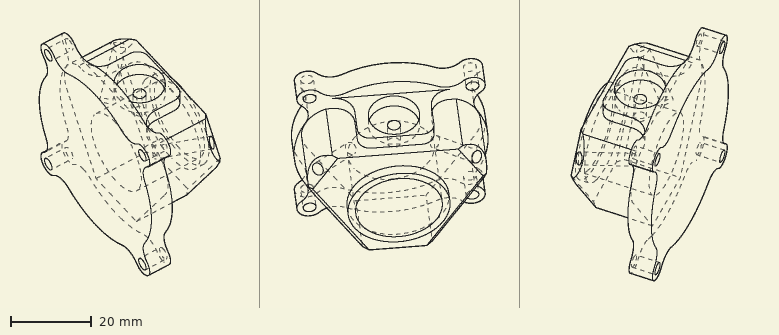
import cadquery as cq
import math

flange_radius = 24.15
flange_thickness = 6.3
ear_offset = 20.2
ear_radius = 3.2
ear_fillet = 5.0
hole_diameter = 3.2

housing_back = 22.88
housing_top = 15.93
housing_bottom = -19.05
corner_x = 12.65
corner_z = 7.0
corner_radius = 9.6
facet_angle = 30.0
corner_cut_depth = 3.15
side_chamfer = 1.35
corner_hole_x = 19.75
corner_hole_z = 10.75
corner_hole_length = 18.35

collar_back = 25.4
collar_diameter = 25.4
bore_diameter = 21.55
collar_z = -1.3

pad_top = 19.65
pad_half_width = 9.5
pad_back = 20.35
pad_corner_radius = 3.2
pad_root_radius = 5.0
pocket_diameter = 12.7
pocket_y = 13.35

cos_facet = math.cos(math.radians(facet_angle))
sin_facet = math.sin(math.radians(facet_angle))
cos_45 = math.sqrt(0.5)


def back_facing_plane(y):
    """Workplane facing +Y, with local x = -X and local y = Z."""
    return cq.Workplane(cq.Plane((0, y, 0), (-1, 0, 0), (0, 1, 0)))


def make_flange():
    across = ear_radius + ear_fillet
    along = math.sqrt((flange_radius + ear_fillet) ** 2 - across**2)
    rim_scale = flange_radius / (flange_radius + ear_fillet)
    ear_along = ear_offset * math.sqrt(2)
    fillet_angle = math.atan2(across, along)
    middle_angle = (fillet_angle + 2.5 * math.pi) / 2
    bend = (along + ear_fillet * math.cos(middle_angle), across + ear_fillet * math.sin(middle_angle))
    rim = (along * rim_scale, across * rim_scale)

    def turned(point, quarter, side):
        """Point in ear coordinates, mirrored by side and turned to its quarter."""
        angle = math.radians(45 + 90 * quarter)
        x, y = point[0], side * point[1]
        return (x * math.cos(angle) - y * math.sin(angle), x * math.sin(angle) + y * math.cos(angle))

    outline = back_facing_plane(0).moveTo(*turned(rim, 0, -1))
    for quarter in range(4):
        outline = (
            outline.threePointArc(turned(bend, quarter, -1), turned((along, ear_radius), quarter, -1))
            .lineTo(*turned((ear_along, ear_radius), quarter, -1))
            .threePointArc(
                turned((ear_along + ear_radius, 0), quarter, 1),
                turned((ear_along, ear_radius), quarter, 1),
            )
            .lineTo(*turned((along, ear_radius), quarter, 1))
            .threePointArc(turned(bend, quarter, 1), turned(rim, quarter, 1))
            .threePointArc(
                turned((flange_radius * cos_45, flange_radius * cos_45), quarter, 1),
                turned(rim, quarter + 1, -1),
            )
        )
    plate = outline.close().extrude(flange_thickness)
    holes = (
        back_facing_plane(0)
        .rect(2 * ear_offset, 2 * ear_offset, forConstruction=True)
        .vertices()
        .circle(hole_diameter / 2)
        .extrude(flange_thickness)
    )
    return plate.cut(holes)


def bevel_cutter(side, tilt, edge_distance):
    """Block removing material outside a 45 degree plane on the back edge.

    The plane meets the back face at edge_distance from the Y axis.
    """
    size = 2 * flange_radius
    origin = (side * edge_distance * cos_facet, housing_back, tilt * edge_distance * sin_facet)
    normal = (side * cos_facet * cos_45, cos_45, tilt * sin_facet * cos_45)
    along_edge = (-side * sin_facet * tilt, 0, cos_facet)
    return cq.Workplane(cq.Plane(origin, along_edge, normal)).rect(size, size).extrude(size)


def make_housing():
    top_x = corner_x + math.sqrt(corner_radius**2 - (housing_top - corner_z) ** 2)
    side_distance = corner_x * cos_facet - corner_z * sin_facet + corner_radius
    bottom_x = (side_distance + housing_bottom * sin_facet) / cos_facet
    side_x = corner_x + corner_radius * cos_facet
    side_z = corner_z - corner_radius * sin_facet
    bulge_x = corner_x + corner_radius
    body = (
        back_facing_plane(flange_thickness)
        .moveTo(-top_x, housing_top)
        .lineTo(top_x, housing_top)
        .threePointArc((bulge_x, corner_z), (side_x, side_z))
        .lineTo(bottom_x, housing_bottom)
        .lineTo(-bottom_x, housing_bottom)
        .lineTo(-side_x, side_z)
        .threePointArc((-bulge_x, corner_z), (-top_x, housing_top))
        .close()
        .extrude(housing_back - flange_thickness)
    )
    corner_distance = corner_x * cos_facet + corner_z * sin_facet + corner_radius
    for side in (-1, 1):
        body = body.cut(bevel_cutter(side, 1, corner_distance - corner_cut_depth))
        body = body.cut(bevel_cutter(side, -1, side_distance - side_chamfer))
    return body


def make_pad():
    root_x = pad_half_width + pad_root_radius
    root_y = flange_thickness + pad_root_radius
    shoulder_x = pad_half_width - pad_corner_radius
    shoulder_y = pad_back - pad_corner_radius
    root_mid_x = root_x - pad_root_radius * cos_45
    root_mid_y = root_y - pad_root_radius * cos_45
    shoulder_mid_x = shoulder_x + pad_corner_radius * cos_45
    shoulder_mid_y = shoulder_y + pad_corner_radius * cos_45
    pad = (
        cq.Workplane("XY", origin=(0, 0, housing_top))
        .moveTo(-root_x, flange_thickness)
        .lineTo(root_x, flange_thickness)
        .threePointArc((root_mid_x, root_mid_y), (pad_half_width, root_y))
        .lineTo(pad_half_width, shoulder_y)
        .threePointArc((shoulder_mid_x, shoulder_mid_y), (shoulder_x, pad_back))
        .lineTo(-shoulder_x, pad_back)
        .threePointArc((-shoulder_mid_x, shoulder_mid_y), (-pad_half_width, shoulder_y))
        .lineTo(-pad_half_width, root_y)
        .threePointArc((-root_mid_x, root_mid_y), (-root_x, flange_thickness))
        .close()
        .extrude(pad_top - housing_top)
    )
    pocket = (
        cq.Workplane("XY", origin=(0, pocket_y, housing_top))
        .circle(pocket_diameter / 2)
        .extrude(pad_top - housing_top)
    )
    return pad.cut(pocket)


def corner_hole(side):
    """Hole square to a bevelled corner, running into the bore."""
    corner_distance = corner_x * cos_facet + corner_z * sin_facet + corner_radius
    edge_distance = corner_distance - corner_cut_depth
    hole_distance = corner_hole_x * cos_facet + corner_hole_z * sin_facet
    hole_y = housing_back - (hole_distance - edge_distance)
    inward = cq.Vector(-side * cos_facet * cos_45, -cos_45, -sin_facet * cos_45)
    mouth = cq.Vector(side * corner_hole_x, hole_y, corner_hole_z)
    start = mouth - inward * hole_diameter
    return cq.Solid.makeCylinder(hole_diameter / 2, corner_hole_length, start, inward)


collar = (
    back_facing_plane(flange_thickness)
    .center(0, collar_z)
    .circle(collar_diameter / 2)
    .extrude(collar_back - flange_thickness)
)
bore = (
    back_facing_plane(flange_thickness)
    .center(0, collar_z)
    .circle(bore_diameter / 2)
    .extrude(collar_back - flange_thickness)
)
passage = (
    cq.Workplane("XY", origin=(0, pocket_y, collar_z))
    .circle(hole_diameter / 2)
    .extrude(housing_top - collar_z)
)

result = make_flange().union(make_housing()).union(collar).union(make_pad())
result = result.cut(bore).cut(passage)
for side in (-1, 1):
    result = result.cut(cq.Workplane(corner_hole(side)))